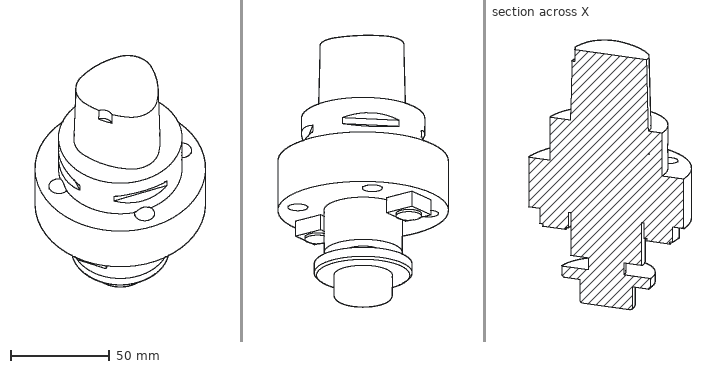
import cadquery as cq
import math

total_height = 135.5
washer_bottom = 12.5
washer_top = 18.5
pilot_bottom = 24.7
flange_bottom = 47.5
flange_top = 74.4
body_top = 97.4

screw_head_diameter = 29.8
washer_diameter = 50.0
neck_diameter = 20.0
pilot_diameter = 40.0
flange_diameter = 87.0
body_diameter = 63.0
screw_head_fillet = 1.8
washer_chamfer = 1.2

corner_radius = 14.1
corner_center_offset = 9.6
flank_distance = 20.2
taper_angle = math.degrees(math.atan(1 / 40))
notch_radius = 5.0
notch_depth = 6.4
notch_center_y = -22.6

groove_radius_at_floor = 27.9
groove_floor_width = 3.3
groove_wall_slope = math.tan(math.radians(30))
groove_z = 85.5

hole_diameter = 10.2
hole_circle_radius = 33.6
hole_tip_height = 4.2

key_width = 16.1
key_height = 8.1
key_offset = 29.1
key_screw_diameter = 13.0
key_screw_height = 1.2

diagonals = (45, 135, 225, 315)


def disc(diameter, bottom, top):
    return cq.Workplane("XY").workplane(offset=bottom).circle(diameter / 2).extrude(top - bottom)


def polar(radius, degrees):
    angle = math.radians(degrees)
    return (radius * math.cos(angle), radius * math.sin(angle))


def taper_shank():
    half_spacing = corner_center_offset * math.sin(math.radians(60))
    axial_spacing = corner_center_offset * math.cos(math.radians(60))
    radius_gap = flank_distance - corner_radius
    flank_center = (half_spacing**2 + axial_spacing**2 - radius_gap**2) / (2 * (radius_gap - axial_spacing))
    flank_radius = flank_center + flank_distance
    half_angle = math.degrees(math.asin(half_spacing / (flank_radius - corner_radius)))
    join_x = flank_radius * math.cos(math.radians(half_angle)) - flank_center
    join_y = flank_radius * math.sin(math.radians(half_angle))
    join_radius = math.hypot(join_x, join_y)
    join_angle = math.degrees(math.atan2(join_y, join_x))

    outline = cq.Workplane("XY").workplane(offset=body_top).moveTo(*polar(join_radius, -90 - join_angle))
    for flank_angle in (-90, 30, 150):
        outline = outline.threePointArc(
            polar(flank_distance, flank_angle), polar(join_radius, flank_angle + join_angle)
        )
        outline = outline.threePointArc(
            polar(corner_center_offset + corner_radius, flank_angle + 60),
            polar(join_radius, flank_angle + 120 - join_angle),
        )
    shank = outline.close().extrude(total_height - body_top, taper=taper_angle)
    notch = disc(2 * notch_radius, total_height - notch_depth, total_height).translate((0, notch_center_y, 0))
    return shank.cut(notch)


def gripper_groove(angle):
    depth = body_diameter / 2 - groove_radius_at_floor
    half_floor = groove_floor_width / 2
    half_mouth = half_floor + depth * groove_wall_slope
    profile = [
        (groove_radius_at_floor, groove_z - half_floor),
        (body_diameter / 2, groove_z - half_mouth),
        (body_diameter / 2, groove_z + half_mouth),
        (groove_radius_at_floor, groove_z + half_floor),
    ]
    groove = cq.Workplane("XZ").polyline(profile).close().extrude(body_diameter / 2, both=True)
    return groove.rotate((0, 0, 0), (0, 0, 1), angle)


def bolt_hole(angle):
    radius = hole_diameter / 2
    profile = [(0, flange_bottom), (radius, flange_bottom), (radius, flange_top), (0, flange_top + hole_tip_height)]
    hole = cq.Workplane("XZ").polyline(profile).close().revolve(360, (0, 0), (0, 1))
    return hole.translate((*polar(hole_circle_radius, angle), 0))


def drive_key(side):
    key_bottom = flange_bottom - key_height
    key = cq.Workplane("XY").workplane(offset=key_bottom).rect(key_width, key_width).extrude(key_height)
    screw = disc(key_screw_diameter, key_bottom - key_screw_height, key_bottom)
    return key.union(screw).translate((0, side * key_offset, 0))


result = disc(flange_diameter, flange_bottom, flange_top)
result = result.union(disc(body_diameter, flange_top, body_top))
result = result.union(disc(pilot_diameter, pilot_bottom, flange_bottom))
result = result.union(disc(neck_diameter, washer_top, pilot_bottom))
result = result.union(disc(washer_diameter, washer_bottom, washer_top).faces("<Z").chamfer(washer_chamfer))
result = result.union(disc(screw_head_diameter, 0, washer_bottom).faces("<Z").edges().fillet(screw_head_fillet))
result = result.union(taper_shank())

for side in (-1, 1):
    result = result.union(drive_key(side))

for diagonal in diagonals:
    result = result.cut(gripper_groove(diagonal))
    result = result.cut(bolt_hole(diagonal))